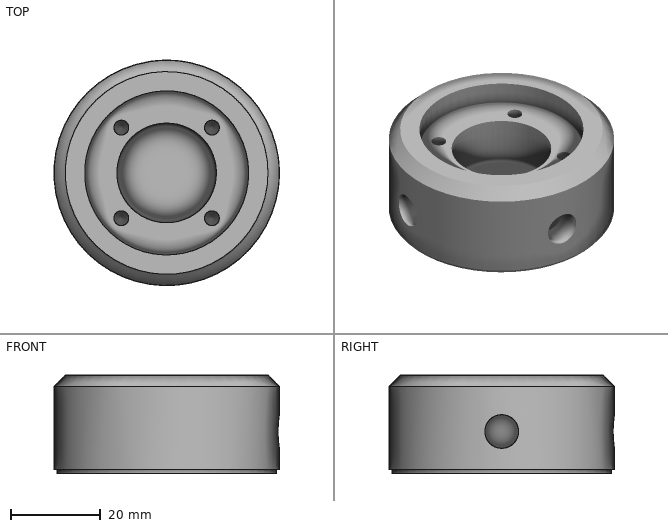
import cadquery as cq
import math

outer_diameter = 50.292
overall_height = 21.971

disc_diameter = 48.95
disc_thickness = 0.889

rim_chamfer = 2.54
recess_diameter = 36.6
recess_depth = 5.2
recess_corner_radius = 0.25
bore_diameter = 22.225
bore_depth = 10.795
bore_corner_radius = 0.762

screw_hole_diameter = 3.3
screw_circle_diameter = 28.575
screw_hole_count = 4
screw_start_angle = 45
screw_hole_depth = 8.0
drill_point_angle = 118

side_hole_diameter = 7.5
side_hole_height = 9.4
side_hole_depth = 6.0
side_hole_angles = (0, 90)

outer_radius = outer_diameter / 2
recess_floor = overall_height - recess_depth
bore_floor = recess_floor - bore_depth


def make_base_disc():
    """Plain disc that forms the foot of the part."""
    return cq.Workplane("XY").circle(disc_diameter / 2).extrude(disc_thickness)


def rounded_pocket(diameter, floor, top, corner_radius):
    """Round cutter from floor to top with a rounded bottom edge."""
    return (
        cq.Workplane("XY", origin=(0, 0, floor))
        .circle(diameter / 2)
        .extrude(top - floor)
        .faces("<Z")
        .edges()
        .fillet(corner_radius)
    )


def screw_hole_cutters():
    """Drilled blind holes with conical bottoms, as cutters below the recess floor."""
    radius = screw_hole_diameter / 2
    half_angle = math.radians(drill_point_angle / 2)
    point_length = radius / math.tan(half_angle)
    drill = (
        cq.Workplane("XZ")
        .lineTo(radius, 0)
        .lineTo(radius, -screw_hole_depth)
        .lineTo(0, -screw_hole_depth - point_length)
        .close()
        .revolve(360, (0, 0), (0, 1))
        .translate((screw_circle_diameter / 2, 0, recess_floor))
    )
    step = 360 / screw_hole_count
    return [
        drill.rotate((0, 0, 0), (0, 0, 1), screw_start_angle + index * step)
        for index in range(screw_hole_count)
    ]


def side_hole_cutters():
    """Flat-bottomed radial holes entering from the outside wall."""
    hole = (
        cq.Workplane("YZ", origin=(outer_radius - side_hole_depth, 0, side_hole_height))
        .circle(side_hole_diameter / 2)
        .extrude(side_hole_depth)
    )
    return [hole.rotate((0, 0, 0), (0, 0, 1), angle) for angle in side_hole_angles]


def make_housing():
    """Chamfered round housing with its recess, central bore and drilled holes."""
    housing = (
        cq.Workplane("XY", origin=(0, 0, disc_thickness))
        .circle(outer_radius)
        .extrude(overall_height - disc_thickness)
        .faces(">Z")
        .edges()
        .chamfer(rim_chamfer)
    )
    housing = housing.cut(rounded_pocket(recess_diameter, recess_floor, overall_height, recess_corner_radius))
    housing = housing.cut(rounded_pocket(bore_diameter, bore_floor, recess_floor, bore_corner_radius))
    for cutter in screw_hole_cutters() + side_hole_cutters():
        housing = housing.cut(cutter)
    return housing


base_disc = make_base_disc()
housing = make_housing()

result = cq.Compound.makeCompound([housing.val(), base_disc.val()])